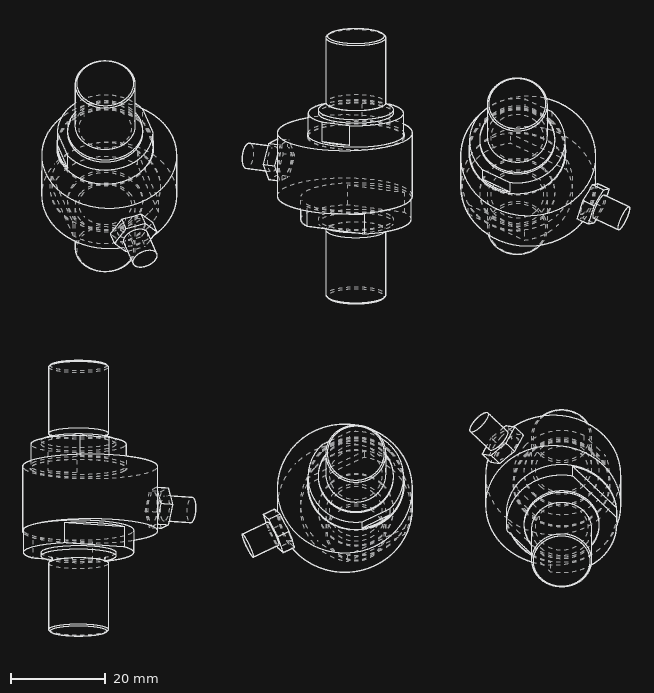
import cadquery as cq

body_diameter = 28.6
body_bottom = 21.7
body_top = 35.6

overall_height = 57.15
lower_collar_diameter = 23.4
stud_axis_x = (lower_collar_diameter - body_diameter) / 2
stud_diameter = 12.7
stud_length = 14.65
stud_chamfer = 0.35
undercut_width = 1.55
flange_diameter = 15.9
flange_thickness = 0.75

upper_collar_diameter = 20.2
flats_width = 19.1
upper_flat_setback = 0.35
lower_flat_setback = 0.45

groove_width = 0.2
groove_depth = 0.6

outlet_z = 27.7
spigot_diameter = 6.25
nut_thickness = 2.7
nut_embed = 0.05
nut_across_corners = 9.5
nut_across_flats = 7.95
nut_flat_length = 4.3
cable_diameter = 5.45
cable_length = 6.0

end_length = stud_length + undercut_width + flange_thickness
body_radius = body_diameter / 2
nut_start_x = body_radius - nut_embed
nut_end_x = nut_start_x + nut_thickness


def disc(diameter, bottom, top, x=stud_axis_x):
    """Upright cylinder between two heights."""
    return cq.Workplane("XY", origin=(x, 0, bottom)).circle(diameter / 2).extrude(top - bottom)


def lower_end():
    """Chamfered stud, half-round undercut and flange, turned about the stud axis."""
    radius = stud_diameter / 2
    flange_radius = flange_diameter / 2
    undercut_radius = undercut_width / 2
    undercut_top = stud_length + undercut_width
    return (
        cq.Workplane("XZ", origin=(stud_axis_x, 0, 0))
        .lineTo(radius - stud_chamfer, 0)
        .lineTo(radius, stud_chamfer)
        .lineTo(radius, stud_length)
        .threePointArc(
            (radius - undercut_radius, stud_length + undercut_radius),
            (radius, undercut_top),
        )
        .lineTo(flange_radius, undercut_top)
        .lineTo(flange_radius, end_length)
        .lineTo(0, end_length)
        .close()
        .revolve(360, (0, 0, 0), (0, 1, 0))
    )


def wrench_collar(diameter, bottom, top, flats_bottom, flats_top):
    """Round collar with two flats facing -Y and +Y over part of its height."""
    across_flats = cq.Workplane("XY", origin=(stud_axis_x, 0, flats_bottom)).rect(diameter, flats_width)
    flats_band = disc(diameter, flats_bottom, flats_top).cut(across_flats.extrude(flats_top - flats_bottom))
    return disc(diameter, bottom, top).cut(flats_band)


def body():
    """Main cylinder with the ring groove in its top face."""
    groove_bottom = body_top - groove_depth
    groove = disc(upper_collar_diameter + 2 * groove_width, groove_bottom, body_top).cut(
        disc(upper_collar_diameter, groove_bottom, body_top)
    )
    return disc(body_diameter, body_bottom, body_top, x=0).cut(groove)


def cable_outlet():
    """Spigot, six-sided nut and cable stub along +X."""
    corner = nut_across_corners / 2
    flat = nut_across_flats / 2
    half_length = nut_flat_length / 2
    nut_outline = [
        (corner, 0),
        (half_length, flat),
        (-half_length, flat),
        (-corner, 0),
        (-half_length, -flat),
        (half_length, -flat),
    ]
    spigot = cq.Workplane("YZ", origin=(0, 0, outlet_z)).circle(spigot_diameter / 2).extrude(nut_end_x)
    nut = cq.Workplane("YZ", origin=(nut_start_x, 0, outlet_z)).polyline(nut_outline).close()
    cable = cq.Workplane("YZ", origin=(nut_end_x, 0, outlet_z)).circle(cable_diameter / 2)
    return spigot.union(nut.extrude(nut_thickness)).union(cable.extrude(cable_length))


upper_collar_top = overall_height - end_length
upper_collar = wrench_collar(
    upper_collar_diameter, body_top, upper_collar_top, body_top + upper_flat_setback, upper_collar_top
)
lower_collar = wrench_collar(
    lower_collar_diameter, end_length, body_bottom, end_length, body_bottom - lower_flat_setback
)
upper_end = lower_end().mirror("XY", (0, 0, overall_height / 2))

result = (
    body()
    .union(upper_collar)
    .union(lower_collar)
    .union(lower_end())
    .union(upper_end)
    .union(cable_outlet())
)